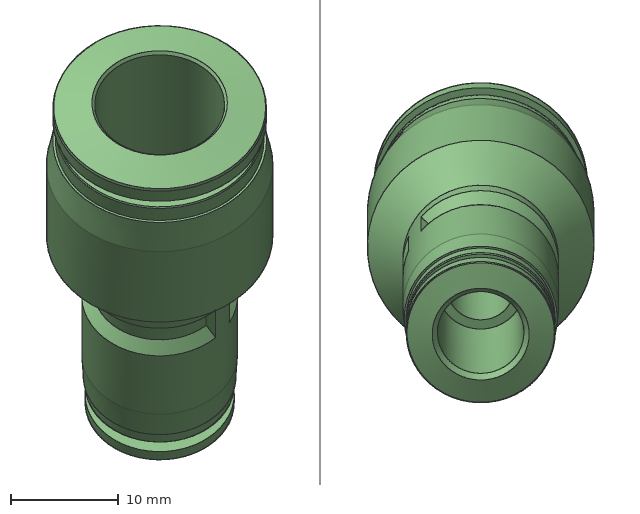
import cadquery as cq

length = 44.0
large_body_diameter = 21.0
small_body_diameter = 14.45
small_tip_diameter = 14.15
groove_diameter = 12.3
passage_diameter = 6.2

large_flange_diameter = 19.8
large_collar_diameter = 19.3
large_neck_diameter = 13.4
large_bore_diameter = 12.0
large_mouth_diameter = 12.55
small_flange_diameter = 13.8
small_collar_diameter = 13.8
small_neck_diameter = 9.35
small_bore_diameter = 8.0
small_mouth_diameter = 8.98

small_rim_height = 0.55
small_flange_top = 1.75
small_collar_bottom = 3.05
small_tip_start = 4.45
small_tip_end = 7.55
groove_bottom = 16.0
groove_top = 20.0
shoulder_top = 24.85
large_taper_start = 35.05
large_taper_end = 38.6
large_collar_top = 40.45
large_flange_bottom = 41.65
large_rim_height = 43.4

collar_chamfer = 0.11
neck_flare = 0.35
flange_edge_width = 0.1
flange_edge_height = 0.25

rib_width = 2.25

large_socket_depth = 22.0
small_socket_depth = 13.2


def outer_body():
    """Solid of revolution for the whole outside, without the grip groove."""
    large_body = large_body_diameter / 2
    small_body = small_body_diameter / 2
    large_flange = large_flange_diameter / 2
    large_collar = large_collar_diameter / 2
    large_neck = large_neck_diameter / 2
    small_flange = small_flange_diameter / 2
    small_collar = small_collar_diameter / 2
    small_neck = small_neck_diameter / 2
    shoulder_bottom = shoulder_top - (large_body - small_body)

    profile = [
        (0, 0),
        (small_mouth_diameter / 2, 0),
        (small_flange - flange_edge_width, small_rim_height - collar_chamfer),
        (small_flange, small_rim_height),
        (small_flange, small_flange_top),
        (small_neck + neck_flare, small_flange_top),
        (small_neck, small_flange_top + neck_flare),
        (small_neck, small_collar_bottom),
        (small_collar - collar_chamfer, small_collar_bottom),
        (small_collar, small_collar_bottom + collar_chamfer),
        (small_collar, small_tip_start),
        (small_tip_diameter / 2, small_tip_start),
        (small_body, small_tip_end),
        (small_body, shoulder_bottom),
        (large_body, shoulder_top),
        (large_body, large_taper_start),
        (large_flange, large_taper_end),
        (large_collar, large_taper_end),
        (large_collar, large_collar_top - collar_chamfer),
        (large_collar - collar_chamfer, large_collar_top),
        (large_neck, large_collar_top),
        (large_neck, large_flange_bottom - neck_flare),
        (large_neck + neck_flare, large_flange_bottom),
        (large_flange, large_flange_bottom),
        (large_flange, large_rim_height - flange_edge_height),
        (large_flange - flange_edge_width, large_rim_height),
        (large_mouth_diameter / 2, length),
        (0, length),
    ]
    return cq.Workplane("XZ").polyline(profile).close().revolve(360, (0, 0), (0, 1))


def grip_groove():
    """Ring with 45 degree sides, interrupted by a rib at +X and at -X."""
    outer = small_body_diameter / 2
    inner = groove_diameter / 2
    depth = outer - inner
    profile = [
        (outer, groove_bottom),
        (inner, groove_bottom + depth),
        (inner, groove_top - depth),
        (outer, groove_top),
    ]
    ring = cq.Workplane("XZ").polyline(profile).close().revolve(360, (0, 0), (0, 1))
    ribs = cq.Workplane("XY").box(large_body_diameter, rib_width, length, centered=(True, True, False))
    return ring.cut(ribs)


def socket(diameter, mouth_diameter, depth):
    """Tube socket rising from Z = 0, with a 45 degree chamfer at its mouth."""
    radius = diameter / 2
    mouth_radius = mouth_diameter / 2
    profile = [
        (0, 0),
        (mouth_radius, 0),
        (radius, mouth_radius - radius),
        (radius, depth),
        (0, depth),
    ]
    return cq.Workplane("XZ").polyline(profile).close().revolve(360, (0, 0), (0, 1))


small_socket = socket(small_bore_diameter, small_mouth_diameter, small_socket_depth)
large_socket = (
    socket(large_bore_diameter, large_mouth_diameter, large_socket_depth)
    .rotate((0, 0, 0), (1, 0, 0), 180)
    .translate((0, 0, length))
)
passage = cq.Workplane("XY").circle(passage_diameter / 2).extrude(length)

result = outer_body().cut(grip_groove()).cut(small_socket).cut(large_socket).cut(passage)